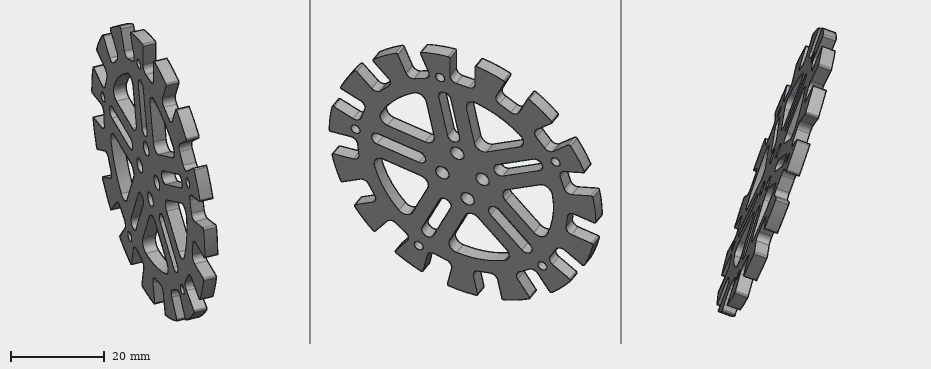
import cadquery as cq
import math

outer_radius = 32.3
thickness = 3.0

notch_count = 15
notch_width = 6.0
notch_floor = 25.4
notch_floor_fillet = 1.5
tooth_tip_fillet = 0.4

spoke_count = 5
first_spoke_angle = 90 + 180 / notch_count
spoke_half_width = 5.0
spoke_slot_width = 3.0
spoke_slot_inner = 10.45
spoke_slot_outer = 20.65
tooth_hole_diameter = 2.2
tooth_hole_radius = 26.0

window_outer_radius = 22.0
window_fillet = 2.0

hub_hole_diameter = 3.2
hub_long_radius = 6.0
hub_short_radius = 5.0


def polar(radius, angle):
    """Point at a radius and an angle in degrees."""
    return radius * math.cos(math.radians(angle)), radius * math.sin(math.radians(angle))


def plane():
    """Sketch plane with +X right and +Z up; extrusion runs toward -Y."""
    return cq.Workplane("XZ")


def drill(points, diameter):
    """Cylinders for through holes at the given points."""
    return plane().pushPoints(points).circle(diameter / 2).extrude(thickness)


def rim_notch():
    """Notch at the top of the wheel, open outward, with a rounded floor."""
    height = 2 * (outer_radius - notch_floor)
    block = plane().center(0, notch_floor + height / 2).rect(notch_width, height).extrude(thickness)
    return block.edges("|Y and <Z").fillet(notch_floor_fillet)


def toothed_disc():
    """Disc with all rim notches cut and the tooth tips rounded."""
    disc = plane().circle(outer_radius).extrude(thickness)
    notch = rim_notch()
    for i in range(notch_count):
        disc = disc.cut(notch.rotate((0, 0, 0), (0, 1, 0), i * 360 / notch_count))
    tip_edges = [
        edge for edge in disc.edges("|Y").vals()
        if math.hypot(edge.Center().x, edge.Center().z) > outer_radius - tooth_tip_fillet
    ]
    return disc.newObject(tip_edges).fillet(tooth_tip_fillet)


def spoke_slot(angle):
    """Round-ended slot along the middle of a spoke."""
    middle = (spoke_slot_inner + spoke_slot_outer) / 2
    length = spoke_slot_outer - spoke_slot_inner + spoke_slot_width
    sketch = plane().pushPoints([polar(middle, angle)]).slot2D(length, spoke_slot_width, angle)
    return sketch.extrude(thickness)


def window(angle):
    """Rounded three-sided window whose straight sides run parallel to the two spokes beside it."""
    half_pitch = 180 / spoke_count
    apex = polar(spoke_half_width / math.sin(math.radians(half_pitch)), angle)
    corner_swing = half_pitch - math.degrees(math.asin(spoke_half_width / window_outer_radius))
    return (
        plane()
        .moveTo(*apex)
        .lineTo(*polar(window_outer_radius, angle - corner_swing))
        .threePointArc(
            polar(window_outer_radius, angle),
            polar(window_outer_radius, angle + corner_swing),
        )
        .close()
        .extrude(thickness)
        .edges("|Y")
        .fillet(window_fillet)
    )


def hub_holes():
    """Four holes around the wheel centre."""
    points = [
        polar(hub_long_radius, first_spoke_angle),
        polar(hub_short_radius, first_spoke_angle + 90),
        polar(hub_long_radius, first_spoke_angle + 180),
        polar(hub_short_radius, first_spoke_angle + 270),
    ]
    return drill(points, hub_hole_diameter)


spoke_pitch = 360 / spoke_count
wheel = toothed_disc().cut(hub_holes())
for i in range(spoke_count):
    spoke_angle = first_spoke_angle + i * spoke_pitch
    wheel = wheel.cut(spoke_slot(spoke_angle))
    wheel = wheel.cut(drill([polar(tooth_hole_radius, spoke_angle)], tooth_hole_diameter))
    wheel = wheel.cut(window(spoke_angle + spoke_pitch / 2))

result = wheel